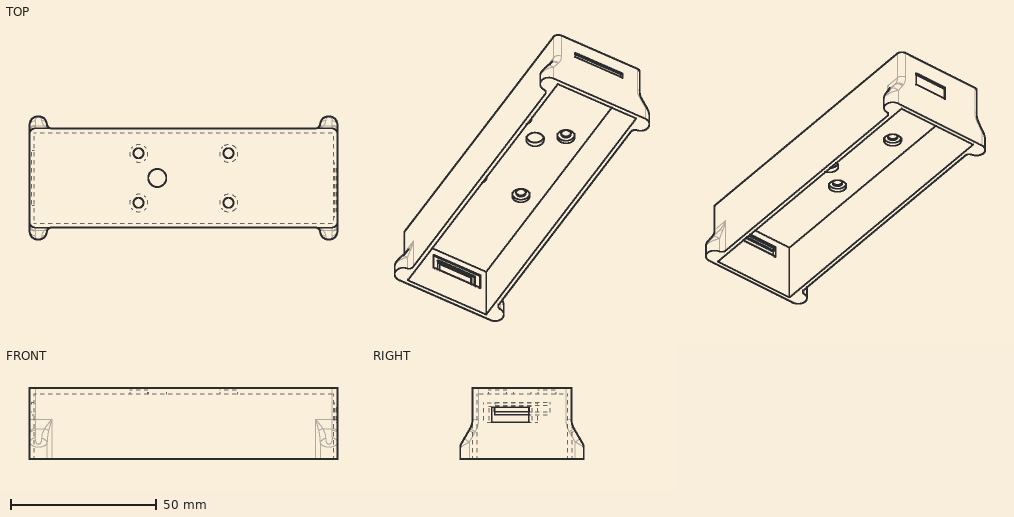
import cadquery as cq
import math

length = 106.0
box_width = 34.1
height = 24.5
wall = 1.5
roof = 2.0
thin_skin = 0.6
edge_radius = 2.0

foot_span = 42.5
foot_width = 6.0
foot_radius = foot_width / 2
root_radius = 1.6
flare_top = 13.7
flare_radius = 6.4
flare_angle = math.radians(30)

screw_hole_diameter = 3.4
screw_recess_diameter = 6.1
screw_spacing_x = 31.0
screw_spacing_y = 17.1
centre_hole_diameter = 6.1
centre_hole_x = -9.0

slot_centre_y = 0.1
slot_width = 19.0
slot_height = 2.2
slot_top = 18.5
slot_recess_margin = 1.1

opening_centre_y = -4.0
opening_bottom = 12.7
opening_steps = [
    (19.4, 5.3, 0.4),
    (18.1, 3.4, 1.0),
    (17.8, 2.3, wall),
]

half_length = length / 2
half_width = box_width / 2
half_span = foot_span / 2


def foot_plan():
    """Upright prism of the -X, -Y foot: half-round nose and a blend into the side wall."""
    nose_x = -half_length + foot_radius
    nose_y = -half_span + foot_radius
    root_y = -half_width - root_radius
    centre_distance = foot_radius + root_radius
    root_x = nose_x + math.sqrt(centre_distance**2 - (root_y - nose_y) ** 2)
    touch_angle = math.atan2(root_y - nose_y, root_x - nose_x)
    touch_point = (
        nose_x + foot_radius * math.cos(touch_angle),
        nose_y + foot_radius * math.sin(touch_angle),
    )
    blend_angle = (touch_angle + math.pi + math.pi / 2) / 2
    blend_point = (
        root_x + root_radius * math.cos(blend_angle),
        root_y + root_radius * math.sin(blend_angle),
    )
    return (
        cq.Workplane("XY")
        .moveTo(-half_length, 0)
        .lineTo(-half_length, nose_y)
        .threePointArc((nose_x, -half_span), touch_point)
        .threePointArc(blend_point, (root_x, -half_width))
        .lineTo(root_x, 0)
        .close()
        .extrude(height)
    )


def flare_profile():
    """Bar along X with the flared outline of the -Y side: wall, arc, slope and foot face."""

    def arc_point(angle):
        return (
            -half_width - flare_radius * (1 - math.cos(angle)),
            flare_top - flare_radius * math.sin(angle),
        )

    slope_y, slope_z = arc_point(flare_angle)
    slope_bottom = slope_z - (half_span + slope_y) / math.tan(flare_angle)
    return (
        cq.Workplane("YZ", origin=(-half_length, 0, 0))
        .moveTo(0, 0)
        .lineTo(0, height)
        .lineTo(-half_width, height)
        .lineTo(-half_width, flare_top)
        .threePointArc(arc_point(flare_angle / 2), (slope_y, slope_z))
        .lineTo(-half_span, slope_bottom)
        .lineTo(-half_span, 0)
        .close()
        .extrude(half_length)
    )


def outer_body():
    """Solid outer shape: one quarter with its foot, mirrored about both middle planes."""
    quarter = (
        cq.Workplane("XY")
        .box(half_length, half_width, height, centered=False)
        .translate((-half_length, -half_width, 0))
        .union(foot_plan().intersect(flare_profile()))
    )
    corner = cq.selectors.NearestToPointSelector(
        (-half_length, -half_width, (flare_top + height) / 2)
    )
    quarter = quarter.edges("|Z").edges(corner).fillet(edge_radius)
    half = quarter.union(quarter.mirror("XZ"))
    return half.union(half.mirror("YZ"))


def cavity():
    return cq.Workplane("XY").box(
        length - 2 * wall, box_width - 2 * wall, height - roof, centered=(True, True, False)
    )


def screw_holes():
    """Screw holes with head recesses sunk into the underside of the roof."""
    places = cq.Workplane("XY").rarray(screw_spacing_x, screw_spacing_y, 2, 2)
    holes = places.circle(screw_hole_diameter / 2).extrude(height)
    recesses = places.circle(screw_recess_diameter / 2).extrude(height - thin_skin)
    return holes.union(recesses)


def centre_hole():
    return (
        cq.Workplane("XY")
        .center(centre_hole_x, 0)
        .circle(centre_hole_diameter / 2)
        .extrude(height)
    )


def wall_block(start_x, centre_y, bottom, depth, width, block_height):
    """Block reaching from start_x towards +X, centred on centre_y."""
    return (
        cq.Workplane("XY")
        .box(depth, width, block_height, centered=(False, True, False))
        .translate((start_x, centre_y, bottom))
    )


def end_slot():
    slot_bottom = slot_top - slot_height
    slot = wall_block(-half_length, slot_centre_y, slot_bottom, wall, slot_width, slot_height)
    recess = wall_block(
        -half_length + thin_skin,
        slot_centre_y,
        slot_bottom - slot_recess_margin,
        wall - thin_skin,
        slot_width,
        slot_height + 2 * slot_recess_margin,
    )
    return slot.union(recess)


def stepped_opening():
    opening = cq.Workplane("XY")
    for top, edge_y, depth in opening_steps:
        step_width = 2 * (edge_y - opening_centre_y)
        opening = opening.union(
            wall_block(
                half_length - wall,
                opening_centre_y,
                opening_bottom,
                depth,
                step_width,
                top - opening_bottom,
            )
        )
    return opening


result = (
    outer_body()
    .cut(cavity())
    .cut(screw_holes())
    .cut(centre_hole())
    .cut(end_slot())
    .cut(stepped_opening())
)